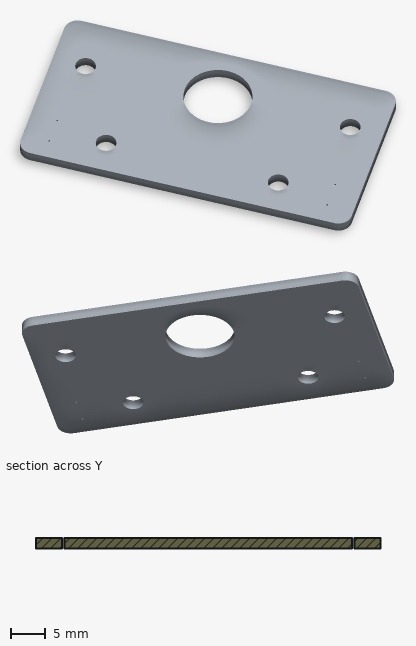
import cadquery as cq

length = 50
width = 26
thickness = 1.6
corner_radius = 2

upper_row_y = 5
opening_diameter = 10

mounting_diameter = 3
upper_mounting_x = 20
lower_mounting_x = 13
lower_row_y = -8

pin_diameter = 0.25
pin_x = 21
pin_spacing = 4
pin_center_y = -8


def mirrored(x, y):
    """Return a point and its mirror image about the YZ plane."""
    return [(-x, y), (x, y)]


def drill(plate, points, diameter):
    """Cut through holes at the given points of the top face."""
    return plate.faces(">Z").workplane(origin=(0, 0, 0)).pushPoints(points).hole(diameter)


mounting_points = mirrored(upper_mounting_x, upper_row_y) + mirrored(lower_mounting_x, lower_row_y)
pin_points = mirrored(pin_x, pin_center_y - pin_spacing / 2) + mirrored(pin_x, pin_center_y + pin_spacing / 2)

plate = cq.Workplane("XY").box(length, width, thickness).edges("|Z").fillet(corner_radius)
plate = drill(plate, [(0, upper_row_y)], opening_diameter)
plate = drill(plate, mounting_points, mounting_diameter)
result = drill(plate, pin_points, pin_diameter)